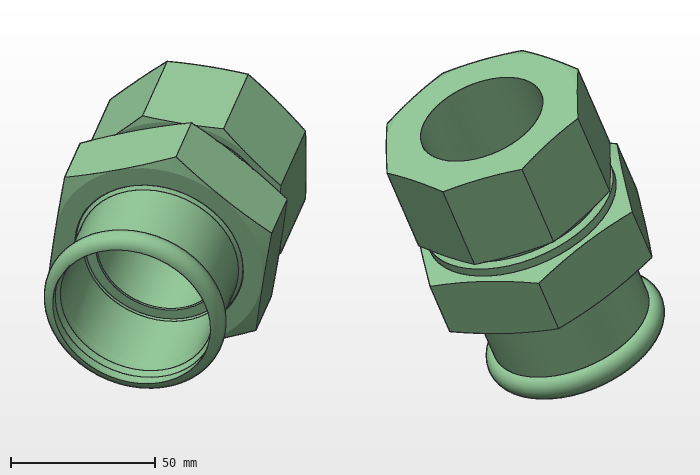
import cadquery as cq
import math

total_length = 102.0
bead_length = 9.4
nut_front = 36.4
nut_back = 60.2
collar_bevel_start = 63.3
collar_back = 64.8
body_front = 67.4

tube_diameter = 57.5
bead_diameter = 65.0
collar_diameter = 69.4
neck_diameter = 65.0
nut_sides = 6
nut_across_flats = 75.0
nut_turn = -22.5
body_sides = 8
body_across_flats = 70.2
body_turn = 22.5
bevel_angle = 15.0
bevel_inset = 0.2
corner_clearance = 1.0

nut_hole_diameter = 60.4
shoulder_diameter = 60.0
shoulder_front = 36.7
shoulder_bevel_front = 35.6
nut_gap_depth = 1.0

mouth_diameter = 56.6
seal_recess_diameter = 57.1
guide_diameter = 54.7
socket_diameter = 54.5
bore_diameter = 45.0
seal_recess_start = 1.1
seal_recess_end = 4.3
guide_start = 6.5
socket_start = 9.4
socket_step = 0.4
socket_depth = 36.7
stop_bevel = 0.6
bore_chamfer = 0.4


def revolve_profile(profile):
    """Turn a closed (radius, Y) profile around the Y axis."""
    return profile.close().revolve(360, (0, 0, 0), (0, 1, 0))


def cylinder(diameter, start, end):
    """Round bar along Y between two stations."""
    radius = diameter / 2
    return revolve_profile(
        cq.Workplane("XY").moveTo(0, start).lineTo(radius, start).lineTo(radius, end).lineTo(0, end)
    )


def bevelled_prism(sides, across_flats, start, end, turn):
    """Regular prism along Y with conical bevels on the corners at both ends."""
    corner_radius = across_flats / 2 / math.cos(math.pi / sides)
    face_radius = across_flats / 2 - bevel_inset
    clear_radius = corner_radius + corner_clearance
    bevel_depth = (clear_radius - face_radius) * math.tan(math.radians(bevel_angle))
    prism = (
        cq.Workplane("XZ", origin=(0, start, 0))
        .polygon(sides, 2 * corner_radius)
        .extrude(start - end)
        .rotate((0, 0, 0), (0, 1, 0), turn)
    )
    envelope = revolve_profile(
        cq.Workplane("XY")
        .moveTo(0, start)
        .lineTo(face_radius, start)
        .lineTo(clear_radius, start + bevel_depth)
        .lineTo(clear_radius, end - bevel_depth)
        .lineTo(face_radius, end)
        .lineTo(0, end)
    )
    return prism.intersect(envelope)


def bead():
    """Rolled bead around the socket mouth, with a round outer edge."""
    edge_radius = mouth_diameter / 2
    return revolve_profile(
        cq.Workplane("XY")
        .moveTo(0, 0)
        .lineTo(edge_radius, 0)
        .threePointArc((bead_diameter / 2, bead_length / 2), (edge_radius, bead_length))
        .lineTo(0, bead_length)
    )


def collar():
    """Round collar behind the nut, bevelled down to the neck."""
    radius = collar_diameter / 2
    return revolve_profile(
        cq.Workplane("XY")
        .moveTo(0, nut_back)
        .lineTo(radius, nut_back)
        .lineTo(radius, collar_bevel_start)
        .lineTo(neck_diameter / 2, collar_back)
        .lineTo(0, collar_back)
    )


def tube_shoulder():
    """Shoulder inside the nut, tapering down to the tube just ahead of the nut face."""
    radius = shoulder_diameter / 2
    return revolve_profile(
        cq.Workplane("XY")
        .moveTo(0, shoulder_bevel_front)
        .lineTo(tube_diameter / 2, shoulder_bevel_front)
        .lineTo(radius, shoulder_front)
        .lineTo(radius, nut_back)
        .lineTo(0, nut_back)
    )


def inside():
    """Socket with its seal recess, the tube stop and the through bore."""
    return revolve_profile(
        cq.Workplane("XY")
        .moveTo(0, 0)
        .lineTo(mouth_diameter / 2, 0)
        .lineTo(seal_recess_diameter / 2, seal_recess_start)
        .lineTo(seal_recess_diameter / 2, seal_recess_end)
        .lineTo(guide_diameter / 2, guide_start)
        .lineTo(guide_diameter / 2, socket_start)
        .lineTo(socket_diameter / 2, socket_start + socket_step)
        .lineTo(socket_diameter / 2, socket_depth - stop_bevel)
        .lineTo(socket_diameter / 2 - stop_bevel, socket_depth)
        .lineTo(bore_diameter / 2 + bore_chamfer, socket_depth)
        .lineTo(bore_diameter / 2, socket_depth + bore_chamfer)
        .lineTo(bore_diameter / 2, total_length)
        .lineTo(0, total_length)
    )


nut = bevelled_prism(nut_sides, nut_across_flats, nut_front, nut_back, nut_turn)
nut = nut.cut(cylinder(nut_hole_diameter, nut_front, nut_front + nut_gap_depth))
body = bevelled_prism(body_sides, body_across_flats, body_front, total_length, body_turn)

result = (
    cylinder(tube_diameter, bead_length / 2, nut_back)
    .union(bead())
    .union(nut)
    .union(tube_shoulder())
    .union(collar())
    .union(cylinder(neck_diameter, nut_back, body_front))
    .union(body)
    .cut(inside())
)